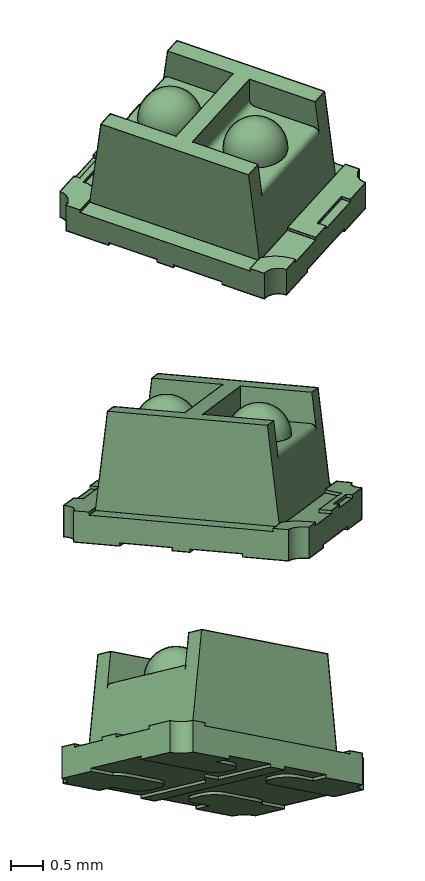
import cadquery as cq
import math

board_length = 4.0
board_width = 3.0
board_height = 0.5
pad_thickness = 0.05
corner_notch_radius = 0.25
half_length = board_length / 2
half_width = board_width / 2
core_top = board_height - pad_thickness

total_height = 2.05
housing_length = 3.0
housing_width = 2.4
housing_draft = 7.0
housing_edge = housing_length / 2

pocket_width = 1.8
pocket_floor = 1.55
pocket_fillet = 0.1
divider_thickness = 0.29
lens_radius = total_height - pocket_floor
lens_x = 0.755

top_pad_radius = 0.65
top_pad_centers = [(-1.92, 1.585), (-1.87, -1.5), (2.0, -1.61)]
left_tab_depth = 0.2
left_tab_end = 0.2
right_pad_start = -0.325
left_slot_depth = 0.1
left_slot_range = (-0.8, -0.2)
right_slot_depth = 0.155
right_slot_range = (0.005, 0.765)

edge_pad_inner_x = 1.0
edge_pad_inner_y = 0.576
land_inner_x = 0.437
land_outer_x = 1.6
land_outer_y = 1.2
front_land_inner_y = 0.476
back_land_inner_y = edge_pad_inner_y
land_corner_radius = 0.26
center_strip_width = 0.29
arrow_size = 0.29


def block(x_range, y_range, z_range):
    """Box between the given limits along each axis."""
    (x0, x1), (y0, y1), (z0, z1) = x_range, y_range, z_range
    return cq.Workplane("XY").box(x1 - x0, y1 - y0, z1 - z0, centered=False).translate((x0, y0, z0))


def mirrored_in_x(solid):
    """The solid together with its mirror image across the YZ plane."""
    return solid.union(solid.mirror("YZ"))


def make_top_pads():
    layer = (core_top, board_height)
    pads = block((-half_length, -half_length + left_tab_depth), (-half_width, left_tab_end), layer)
    pads = pads.union(block((housing_edge, half_length), (right_pad_start, half_width), layer))
    discs = cq.Workplane("XY", origin=(0, 0, core_top)).pushPoints(top_pad_centers)
    pads = pads.union(discs.circle(top_pad_radius).extrude(pad_thickness))

    margin = block((housing_edge, half_length), (-half_width, half_width), layer)
    pads = pads.intersect(mirrored_in_x(margin))

    left_slot = block((-half_length, -half_length + left_slot_depth), left_slot_range, layer)
    right_slot = block((half_length - right_slot_depth, half_length), right_slot_range, layer)
    return pads.cut(left_slot).cut(right_slot)


def make_corner_pad(side, land_inner_y):
    """Right-hand underside pad with a rounded land; side is +1 at the back, -1 at the front."""
    layer = (0, pad_thickness)
    edge_range = sorted((side * edge_pad_inner_y, side * half_width))
    land_range = sorted((side * land_inner_y, side * land_outer_y))
    edge_pad = block((edge_pad_inner_x, half_length), edge_range, layer)
    land = block((land_inner_x, land_outer_x), land_range, layer)
    return edge_pad.union(land.edges("|Z").fillet(land_corner_radius))


def make_bottom_pads():
    corner_pads = make_corner_pad(-1, front_land_inner_y).union(make_corner_pad(1, back_land_inner_y))
    half_strip = center_strip_width / 2
    strip = block((-half_strip, half_strip), (-half_width, half_width), (0, pad_thickness))
    arrow = (
        cq.Workplane("XY")
        .polyline([(half_strip, 0), (half_strip + arrow_size, arrow_size), (half_strip, arrow_size)])
        .close()
        .extrude(pad_thickness)
    )
    return mirrored_in_x(corner_pads).union(strip).union(arrow)


def make_board():
    core = block((-half_length, half_length), (-half_width, half_width), (pad_thickness, core_top))
    board = core.union(make_top_pads()).union(make_bottom_pads())
    notches = (
        cq.Workplane("XY")
        .rect(board_length, board_width, forConstruction=True)
        .vertices()
        .circle(corner_notch_radius)
        .extrude(board_height)
    )
    return board.cut(notches)


def flank_x(z):
    """X of the drafted right-hand flank at height z."""
    return housing_edge - (z - core_top) * math.tan(math.radians(housing_draft))


def make_pocket_section():
    """Right half of the middle: divider, filleted floor and rounded outer lip."""
    wall_x = divider_thickness / 2
    draft = math.radians(housing_draft)
    lip_setback = pocket_fillet * math.tan((math.pi / 2 - draft) / 2)
    lip_x = flank_x(pocket_floor) - lip_setback
    lip_center_z = pocket_floor - pocket_fillet
    lip_mid_angle = (math.pi / 2 + draft) / 2
    lip_mid = (
        lip_x + pocket_fillet * math.cos(lip_mid_angle),
        lip_center_z + pocket_fillet * math.sin(lip_mid_angle),
    )
    lip_end_z = lip_center_z + pocket_fillet * math.sin(draft)
    fillet_mid_gap = pocket_fillet * (1 - math.cos(math.pi / 4))
    return (
        cq.Workplane("XZ")
        .moveTo(0, core_top)
        .lineTo(housing_edge, core_top)
        .lineTo(flank_x(lip_end_z), lip_end_z)
        .threePointArc(lip_mid, (lip_x, pocket_floor))
        .lineTo(wall_x + pocket_fillet, pocket_floor)
        .threePointArc(
            (wall_x + fillet_mid_gap, pocket_floor + fillet_mid_gap),
            (wall_x, pocket_floor + pocket_fillet),
        )
        .lineTo(wall_x, total_height)
        .lineTo(0, total_height)
        .close()
        .extrude(pocket_width / 2, both=True)
    )


def make_housing():
    """Housing with the pocket profile of both sides cut through its middle."""
    top_x = flank_x(total_height)
    section = [
        (-housing_edge, core_top),
        (housing_edge, core_top),
        (top_x, total_height),
        (-top_x, total_height),
    ]
    walls = (
        cq.Workplane("XZ")
        .polyline(section)
        .close()
        .extrude(housing_width / 2, both=True)
    )
    middle = block(
        (-half_length, half_length), (-pocket_width / 2, pocket_width / 2), (core_top, total_height)
    )
    return walls.cut(middle).union(mirrored_in_x(make_pocket_section()))


def make_lenses():
    """Hemispherical lens standing on each pocket floor."""
    ball = cq.Workplane("XY").sphere(lens_radius).translate((lens_x, 0, pocket_floor))
    upper_half = block((0, half_length), (-half_width, half_width), (pocket_floor, total_height))
    return mirrored_in_x(ball.intersect(upper_half))


result = make_board().union(make_housing()).union(make_lenses())